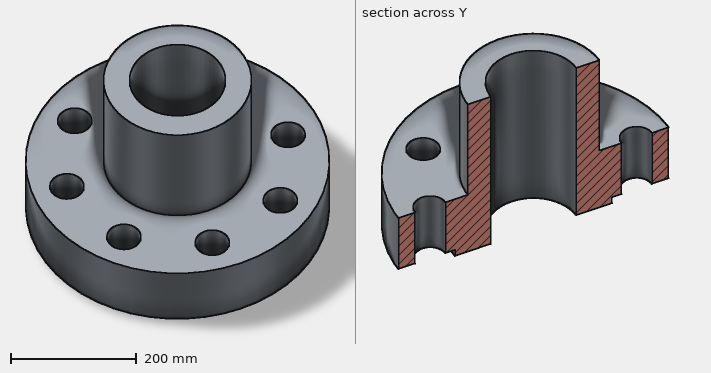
import cadquery as cq

flange_diameter = 482.5
flange_thickness = 108.0

face_diameter = 281.0
face_height = 12.5

total_height = 311.0
neck_diameter = 235.0
bore_diameter = 152.5

bolt_count = 8
bolt_circle_diameter = 368.0
bolt_hole_diameter = 54.0

neck_height = total_height - face_height - flange_thickness


def disc(diameter, bottom, height):
    """Solid upright cylinder on the Z axis."""
    return cq.Workplane("XY").workplane(offset=bottom).circle(diameter / 2).extrude(height)


flange_bottom = face_height
flange_top = flange_bottom + flange_thickness

body = (
    disc(face_diameter, 0, face_height)
    .union(disc(flange_diameter, flange_bottom, flange_thickness))
    .union(disc(neck_diameter, flange_top, neck_height))
)

bore = disc(bore_diameter, 0, total_height)

bolt_holes = (
    cq.Workplane("XY")
    .workplane(offset=flange_bottom)
    .polarArray(bolt_circle_diameter / 2, 0, 360, bolt_count)
    .circle(bolt_hole_diameter / 2)
    .extrude(flange_thickness)
)

result = body.cut(bore).cut(bolt_holes)